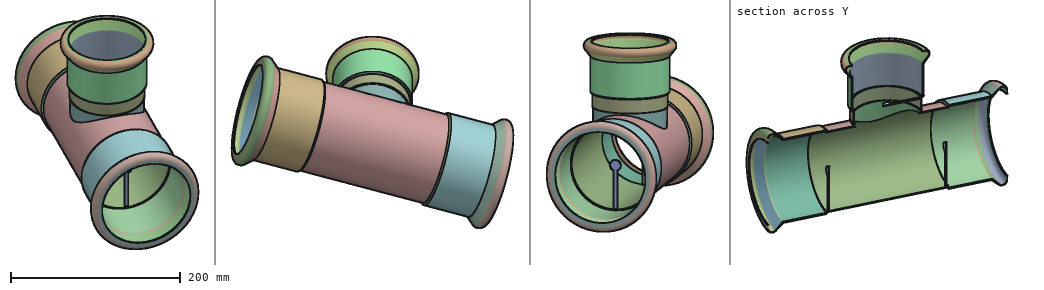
import cadquery as cq
import math


run_length = 310.0
branch_top = 135.2

bead_wall = 1.5
groove_blend = 2.2

run_bead_radius = 66.3
run_bead_round = 6.8
run_flare_depth = 20.8
run_groove_depth = 20.0
run_socket_radius = 56.5
run_socket_bore = 53.5
run_socket_depth = 78.5
run_socket_chamfer = 2.5
run_mouth_radius = 54.5
run_pipe_radius = 54.2
run_pipe_bore = 52.0

branch_bead_radius = 55.0
branch_bead_round = 5.5
branch_flare_depth = 17.5
branch_groove_depth = 16.7
branch_socket_radius = 47.0
branch_socket_bore = 44.5
branch_socket_depth = 62.0
branch_socket_chamfer = 2.0
branch_mouth_radius = 45.5
branch_pipe_radius = 44.5
branch_pipe_bore = 42.5
branch_pipe_depth = 78.7
branch_neck_radius = 43.7
branch_neck_bore = 42.0

marker_thickness = 2.0
run_disc_radius = 6.5
run_stem_width = 4.5
branch_disc_radius = 5.5
branch_stem_width = 4.0
stem_overlap = 1.0

left_mouth = cq.Plane(origin=(-run_length / 2, 0, 0), xDir=(0, 0, -1), normal=(1, 0, 0))
right_mouth = cq.Plane(origin=(run_length / 2, 0, 0), xDir=(0, 0, -1), normal=(-1, 0, 0))
branch_mouth = cq.Plane(origin=(0, 0, branch_top), xDir=(1, 0, 0), normal=(0, 0, -1))


def cylinder(plane, radius, start, end):
    """Cylinder on the plane's normal between two depths."""
    return cq.Workplane(plane).workplane(offset=start).circle(radius).extrude(end - start)


def revolve_about_normal(plane, outline):
    """Turn a (radius, depth) outline about the normal of the plane."""
    half_plane = cq.Plane(origin=plane.origin, xDir=plane.xDir, normal=-plane.yDir)
    return outline(cq.Workplane(half_plane)).close().revolve(360, (0, 0), (0, 1))


def bead_arc(sketch, centre_radius, centre_depth, arc_radius):
    """Continue an outline round a bead, ending where its tangent leans at 45 degrees."""
    diagonal = arc_radius * math.sqrt(0.5)
    return sketch.lineTo(centre_radius, centre_depth - arc_radius).threePointArc(
        (centre_radius + arc_radius, centre_depth),
        (centre_radius + diagonal, centre_depth + diagonal),
    )


def socket_body(plane, bead_radius, bead_round, flare_depth, radius, depth, chamfer):
    """Solid socket: rounded bead, flare down to the barrel, chamfered inner end."""

    def outline(sketch):
        return (
            bead_arc(sketch, bead_radius - bead_round, bead_round, bead_round)
            .lineTo(radius, flare_depth)
            .lineTo(radius, depth - chamfer)
            .lineTo(radius - chamfer, depth)
            .lineTo(0, depth)
        )

    return revolve_about_normal(plane, outline)


def socket_cavity(plane, bead_radius, bead_round, groove_depth, mouth_radius, bore, depth):
    """Socket bore: thin lip at the mouth, seal groove inside the bead, plain bore behind."""
    groove_round = bead_round - bead_wall
    bead_centre = bead_radius - bead_round

    diagonal = groove_round * math.sqrt(0.5)
    cone_rise = bead_centre + diagonal - bore
    cone_run = groove_depth - bead_round - diagonal
    cone_angle = math.atan2(cone_rise, cone_run)
    tangent = groove_blend * math.tan(cone_angle / 2)
    blend_start = (bore + tangent * math.sin(cone_angle), groove_depth - tangent * math.cos(cone_angle))
    blend_end = (bore, groove_depth + tangent)

    def outline(sketch):
        lip = sketch.lineTo(mouth_radius, 0).lineTo(mouth_radius, bead_wall)
        return (
            bead_arc(lip, bead_centre, bead_round, groove_round)
            .lineTo(*blend_start)
            .tangentArcPoint(blend_end, relative=False)
            .lineTo(bore, depth)
            .lineTo(0, depth)
        )

    return revolve_about_normal(plane, outline)


def marker(plane, depth, disc_radius, stem_width, bore):
    """Thin disc on the axis, held by a stem that reaches into the wall."""
    stem_length = bore + stem_overlap
    base = cq.Workplane(plane).workplane(offset=depth)
    disc = base.circle(disc_radius).extrude(marker_thickness)
    stem = base.center(stem_length / 2, 0).rect(stem_length, stem_width).extrude(marker_thickness)
    return disc.union(stem)


body = cylinder(left_mouth, run_pipe_radius, run_socket_depth / 2, run_length - run_socket_depth / 2)
for mouth in (left_mouth, right_mouth):
    body = body.union(
        socket_body(
            mouth, run_bead_radius, run_bead_round, run_flare_depth,
            run_socket_radius, run_socket_depth, run_socket_chamfer,
        )
    )
body = body.union(
    socket_body(
        branch_mouth, branch_bead_radius, branch_bead_round, branch_flare_depth,
        branch_socket_radius, branch_socket_depth, branch_socket_chamfer,
    )
)
body = body.union(cylinder(branch_mouth, branch_pipe_radius, branch_socket_depth, branch_pipe_depth))
body = body.union(cylinder(branch_mouth, branch_neck_radius, branch_pipe_depth, branch_top))

body = body.cut(cylinder(left_mouth, run_pipe_bore, 0, run_length))
for mouth in (left_mouth, right_mouth):
    body = body.cut(
        socket_cavity(
            mouth, run_bead_radius, run_bead_round, run_groove_depth,
            run_mouth_radius, run_socket_bore, run_socket_depth - run_socket_chamfer,
        )
    )
body = body.cut(
    socket_cavity(
        branch_mouth, branch_bead_radius, branch_bead_round, branch_groove_depth,
        branch_mouth_radius, branch_socket_bore, branch_socket_depth - branch_socket_chamfer,
    )
)
body = body.cut(cylinder(branch_mouth, branch_pipe_bore, 0, branch_pipe_depth))
body = body.cut(cylinder(branch_mouth, branch_neck_bore, 0, branch_top))

for mouth in (left_mouth, right_mouth):
    body = body.union(marker(mouth, run_socket_depth, run_disc_radius, run_stem_width, run_pipe_bore))
body = body.union(
    marker(branch_mouth, branch_socket_depth, branch_disc_radius, branch_stem_width, branch_pipe_bore)
)

result = body